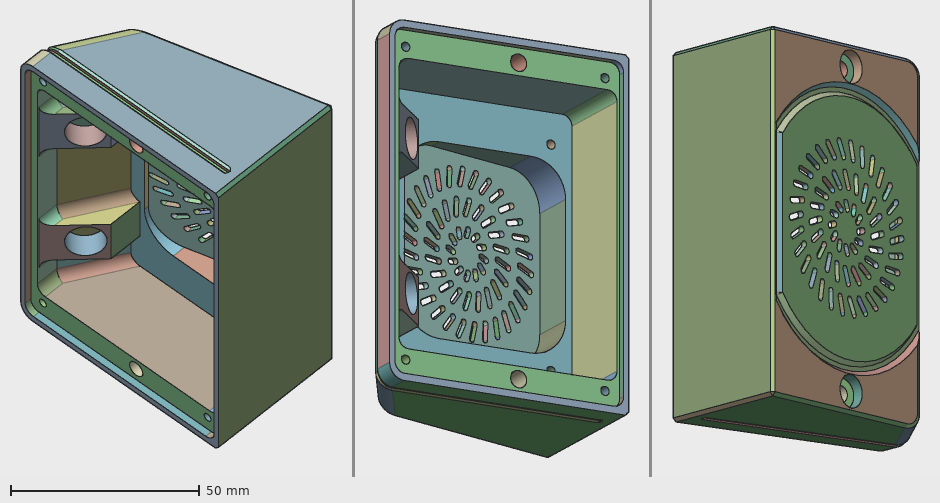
import cadquery as cq
import math

WIDTH = 72.0
HEIGHT = 100.0
SLOPE_ANGLE = 15.0
SIDE_ANGLE = 60.0
PEAK_Y = 44.9
SIDE_START_Y = 8.0
CORNER_R = 4.4
EDGE_CHAMFER = 1.0

RECESS_MARGIN_X = 1.6
RECESS_MARGIN_Z = 2.0
RECESS_DEPTH = 2.2
RECESS_R = 3.0
CAVITY_LEFT = 4.0
CAVITY_RIGHT = 69.6
CAVITY_HALF_Z = 40.3
CAVITY_FLOOR_Y = 27.5
CAVITY_R = 2.9
SIDE_WALL = 2.6

BOSS_RIGHT = 17.5
BOSS_INNER_Z = 15.1
BOSS_OUTER_Z = 28.6
BOSS_ANGLE = 45.0
BORE_Z = 21.5
BORE_D = 11.3
BORE_DEPTH = 7.2
BORE_WALL = 2.4
PIN_D = 2.2
PIN_EXIT_Y = 18.4

POCKET_LEFT = 19.2
POCKET_RIGHT = 67.7
POCKET_HEIGHT = 54.6
POCKET_R = 10.5
GRILLE_WALL = 1.7
GRILLE_X = 41.8
SLOT_WIDTH = 1.7
SLOT_TWIST = 20.0
GRILLE_RINGS = ((12, 6.0, 3.5), (20, 13.0, 5.8), (30, 21.2, 6.1))

RING_X = 40.5
RING_R = 39.3
RING_LEFT_FLAT = 35.0
RING_RIGHT_FLAT = 31.0
ISLAND_R = 35.6
ISLAND_FLAT = 28.3
RING_GROOVE_DEPTH = 1.4
RING_FLANK = 1.2

RIM_GROOVE_START_Y = 6.9
RIM_FLOOR_START_Y = 7.3
RIM_FLOOR_END_Y = 8.7
RIM_GROOVE_END_Y = 9.5
RIM_GROOVE_DEPTH = 1.4
RIM_LIP_DEPTH = 0.4
RIM_GROOVE_END_X = 68.3

MOUNT_X = 40.0
MOUNT_Z = 43.9
MOUNT_D = 4.8
MOUNT_HEAD_D = 9.0
MOUNT_HEAD_DEPTH = 5.0
SCREW_D = 2.5
SCREW_DEPTH = 8.0
DRILL_TIP_ANGLE = 118.0
LID_SCREW_INSET = 6.0
LID_SCREW_Z = 43.4
SPEAKER_SCREW_X = 63.3
SPEAKER_SCREW_Z = 31.4

tan_slope = math.tan(math.radians(SLOPE_ANGLE))
sin_slope = math.sin(math.radians(SLOPE_ANGLE))
cos_slope = math.cos(math.radians(SLOPE_ANGLE))
tan_side = math.tan(math.radians(SIDE_ANGLE))
sin_side = math.sin(math.radians(SIDE_ANGLE))
sin_boss = math.sin(math.radians(BOSS_ANGLE))
cos_boss = math.cos(math.radians(BOSS_ANGLE))
tan_boss = sin_boss / cos_boss


def slope_y(x):
    """Y of the sloped speaker face at a given X."""
    return PEAK_Y - (WIDTH - x) * tan_slope


def side_x(y):
    """X of the slanted side face at a given Y."""
    return (y - SIDE_START_Y) / tan_side


def prism(points, z_low, z_high):
    """XY outline extruded along Z."""
    return cq.Workplane("XY").workplane(offset=z_low).polyline(points).close().extrude(z_high - z_low)


def front_plane(x, y, z=0):
    """Plane facing -Y, so that negative extrusions go into the body."""
    return cq.Plane(origin=(x, y, z), xDir=(1, 0, 0), normal=(0, -1, 0))


def slope_plane(x):
    """Plane lying on the sloped face, with its normal pointing out."""
    return cq.Plane(
        origin=(x, slope_y(x), 0),
        xDir=(-cos_slope, -sin_slope, 0),
        normal=(-sin_slope, cos_slope, 0),
    )


def make_body():
    edge_x = (slope_y(0) - SIDE_START_Y) / (tan_side - tan_slope)
    outline = [
        (0, 0), (WIDTH, 0), (WIDTH, PEAK_Y),
        (edge_x, slope_y(edge_x)), (0, SIDE_START_Y),
    ]
    body = prism(outline, -HEIGHT / 2, HEIGHT / 2)
    side_ends = cq.selectors.BoxSelector((-1, 1, -HEIGHT), (edge_x - 1, slope_y(edge_x) - 1, HEIGHT))
    body = body.faces("<Z or >Z").edges(side_ends).fillet(CORNER_R)
    slope_face = cq.selectors.DirectionMinMaxSelector(slope_plane(0).zDir, True)
    return body.faces(slope_face).edges().add(body.faces(">X").edges("|Y")).chamfer(EDGE_CHAMFER)


def make_recess():
    return (
        cq.Workplane(front_plane(WIDTH / 2, 0))
        .rect(WIDTH - 2 * RECESS_MARGIN_X, HEIGHT - 2 * RECESS_MARGIN_Z)
        .extrude(-RECESS_DEPTH)
        .edges("|Y").fillet(RECESS_R)
    )


def make_side_pocket(z_low, z_high):
    """Cavity bay reaching the slanted wall, with rounded ends."""
    panel_shift = SIDE_WALL / sin_side
    panel_y = SIDE_START_Y + (CAVITY_LEFT - panel_shift) * tan_side
    panel_x = side_x(CAVITY_FLOOR_Y) + panel_shift
    bay = prism(
        [
            (CAVITY_LEFT, RECESS_DEPTH), (BOSS_RIGHT, RECESS_DEPTH), (BOSS_RIGHT, CAVITY_FLOOR_Y),
            (panel_x, CAVITY_FLOOR_Y), (CAVITY_LEFT, panel_y),
        ],
        z_low, z_high,
    )
    wall_ends = cq.selectors.BoxSelector(
        (0, RECESS_DEPTH + 1, -HEIGHT), (BOSS_RIGHT - 3, CAVITY_FLOOR_Y - 1, HEIGHT)
    )
    return bay.faces("<Z or >Z").edges(wall_ends).fillet(CAVITY_R)


bore_travel = BORE_WALL + BORE_DEPTH
bore_mouth_x = side_x(PIN_EXIT_Y) + bore_travel * sin_boss
bore_mouth_y = PIN_EXIT_Y - bore_travel * cos_boss


def boss_y(x):
    """Y of the angled boss face at a given X."""
    return bore_mouth_y + (x - bore_mouth_x) * tan_boss


def make_cavity():
    main = (
        cq.Workplane("XY")
        .box(CAVITY_RIGHT - BOSS_RIGHT, CAVITY_FLOOR_Y - RECESS_DEPTH, 2 * CAVITY_HALF_Z, centered=(False, False, True))
        .translate((BOSS_RIGHT, RECESS_DEPTH, 0))
        .edges("|Y and >X").fillet(CAVITY_R)
    )
    opening_outline = [
        (CAVITY_LEFT, RECESS_DEPTH), (BOSS_RIGHT, RECESS_DEPTH),
        (BOSS_RIGHT, boss_y(BOSS_RIGHT)), (CAVITY_LEFT, boss_y(CAVITY_LEFT)),
    ]
    cavity = main
    for low, high in ((-BOSS_OUTER_Z, -BOSS_INNER_Z), (BOSS_INNER_Z, BOSS_OUTER_Z)):
        cavity = cavity.union(prism(opening_outline, low - CAVITY_R, high + CAVITY_R))
    for low, high in (
        (-CAVITY_HALF_Z, -BOSS_OUTER_Z), (-BOSS_INNER_Z, BOSS_INNER_Z), (BOSS_OUTER_Z, CAVITY_HALF_Z)
    ):
        cavity = cavity.union(make_side_pocket(low, high))
    return cavity


def make_boss_bores():
    bores = cq.Workplane("XY")
    for z in (-BORE_Z, BORE_Z):
        mouth = cq.Plane(
            origin=(bore_mouth_x, bore_mouth_y, z),
            xDir=(cos_boss, sin_boss, 0),
            normal=(-sin_boss, cos_boss, 0),
        )
        bores = bores.union(cq.Workplane(mouth).circle(BORE_D / 2).extrude(BORE_DEPTH))
        bores = bores.union(cq.Workplane(mouth).circle(PIN_D / 2).extrude(bore_travel + PIN_D))
    return bores


def make_speaker_pocket():
    inner_drop = GRILLE_WALL / cos_slope
    profile = [
        (POCKET_LEFT, CAVITY_FLOOR_Y), (POCKET_RIGHT, CAVITY_FLOOR_Y),
        (POCKET_RIGHT, slope_y(POCKET_RIGHT) - inner_drop),
        (POCKET_LEFT, slope_y(POCKET_LEFT) - inner_drop),
    ]
    return prism(profile, -POCKET_HEIGHT / 2, POCKET_HEIGHT / 2).edges("|Y").fillet(POCKET_R)


def make_grille_ring(count, radius, length):
    """Ring of identical slots, each twisted away from the radial direction."""
    sketch = (
        cq.Sketch()
        .parray(radius, 0, 360, count)
        .slot(length - SLOT_WIDTH, SLOT_WIDTH, angle=SLOT_TWIST)
    )
    return cq.Workplane(slope_plane(GRILLE_X)).placeSketch(sketch).extrude(-GRILLE_WALL)


def flat_sided_disc(radius, left_flat, right_flat, flank_angle):
    """Disc with two straight sides, sunk into the sloped face with slanted flanks."""
    left_chord = math.sqrt(radius ** 2 - left_flat ** 2)
    right_chord = math.sqrt(radius ** 2 - right_flat ** 2)
    return (
        cq.Workplane(slope_plane(RING_X))
        .moveTo(left_flat, -left_chord)
        .lineTo(left_flat, left_chord)
        .threePointArc((0, radius), (-right_flat, right_chord))
        .lineTo(-right_flat, -right_chord)
        .threePointArc((0, -radius), (left_flat, -left_chord))
        .close()
        .extrude(-RING_GROOVE_DEPTH, taper=flank_angle)
    )


def make_ring_groove():
    """Ring groove that runs out through the slanted side face on its left."""
    flank_angle = math.degrees(math.atan(RING_FLANK / RING_GROOVE_DEPTH))
    outer = flat_sided_disc(RING_R, RING_LEFT_FLAT, RING_RIGHT_FLAT, flank_angle)
    return outer.cut(flat_sided_disc(ISLAND_R, ISLAND_FLAT, ISLAND_FLAT, -flank_angle))


def make_rim_groove():
    """Groove with slanted lips around the slanted side, ending rounded near the +X side."""
    def core_outline(inset, left_shift=0.0):
        return (
            cq.Sketch()
            .push([((WIDTH + left_shift) / 2, 0)])
            .rect(WIDTH - left_shift - 2 * inset, HEIGHT - 2 * inset)
            .reset().vertices().fillet(CORNER_R - inset)
        )

    floor_middle_y = (RIM_FLOOR_START_Y + RIM_FLOOR_END_Y) / 2
    groove_width = RIM_GROOVE_END_Y - RIM_GROOVE_START_Y
    overhang = 2 * groove_width
    groove = (
        cq.Workplane("XY")
        .center((RIM_GROOVE_END_X - overhang) / 2, (RIM_GROOVE_START_Y + RIM_GROOVE_END_Y) / 2)
        .slot2D(RIM_GROOVE_END_X + overhang, groove_width)
        .extrude(HEIGHT / 2 + RIM_GROOVE_DEPTH, both=True)
    )
    for direction, floor_y, edge_y, left_shift in (
        (-1, RIM_FLOOR_START_Y, RIM_GROOVE_START_Y, 0.0),
        (1, RIM_FLOOR_END_Y, RIM_GROOVE_END_Y, side_x(RIM_GROOVE_END_Y)),
    ):
        flank_height = abs(edge_y - floor_y)
        flank_angle = math.degrees(math.atan(RIM_LIP_DEPTH / flank_height))
        floor_plane = cq.Plane(origin=(0, floor_middle_y, 0), xDir=(1, 0, 0), normal=(0, direction, 0))
        edge_plane = cq.Plane(origin=(0, floor_y, 0), xDir=(1, 0, 0), normal=(0, direction, 0))
        floor_outline = core_outline(RIM_GROOVE_DEPTH)
        lip_outline = core_outline(RIM_LIP_DEPTH, left_shift)
        core = cq.Workplane(floor_plane).placeSketch(floor_outline).extrude(abs(floor_y - floor_middle_y))
        flank = cq.Workplane(edge_plane).placeSketch(lip_outline).extrude(flank_height, taper=-flank_angle)
        groove = groove.cut(core).cut(flank)
    return groove


def make_screw_hole(x, y, z):
    """Blind hole along +Y with a drill-point bottom."""
    radius = SCREW_D / 2
    tip = radius / math.tan(math.radians(DRILL_TIP_ANGLE / 2))
    return (
        cq.Workplane("YZ")
        .polyline([(0, 0), (0, radius), (SCREW_DEPTH, radius), (SCREW_DEPTH + tip, 0)])
        .close()
        .revolve(360, (0, 0), (1, 0))
        .translate((x, y, z))
    )


def make_mount_hole(z):
    """Through hole with a head counterbore entering from the sloped face."""
    through = cq.Workplane(front_plane(MOUNT_X, 0, z)).circle(MOUNT_D / 2).extrude(-PEAK_Y)
    seat_y = slope_y(MOUNT_X) - MOUNT_HEAD_DEPTH
    head = cq.Workplane(front_plane(MOUNT_X, seat_y, z)).circle(MOUNT_HEAD_D / 2).extrude(-PEAK_Y)
    return through.union(head)


result = make_body()
for cutter in (
    make_recess(), make_cavity(), make_boss_bores(), make_speaker_pocket(),
    make_ring_groove(), make_rim_groove(),
):
    result = result.cut(cutter)
for count, radius, length in GRILLE_RINGS:
    result = result.cut(make_grille_ring(count, radius, length))
for side in (-1, 1):
    result = result.cut(make_mount_hole(side * MOUNT_Z))
    result = result.cut(make_screw_hole(SPEAKER_SCREW_X, CAVITY_FLOOR_Y, side * SPEAKER_SCREW_Z))
    for x in (LID_SCREW_INSET, WIDTH - LID_SCREW_INSET):
        result = result.cut(make_screw_hole(x, RECESS_DEPTH, side * LID_SCREW_Z))